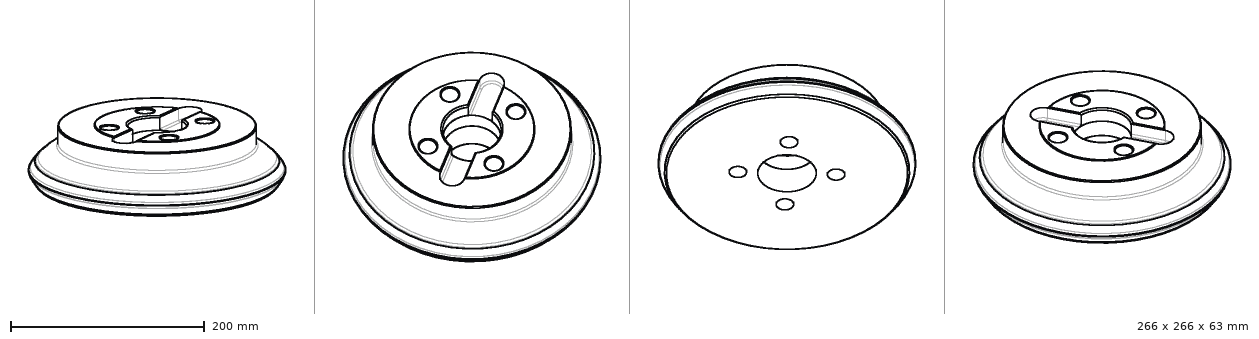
import cadquery as cq
import math

total_height = 63.0
boss_height = 1.0
deck_z = total_height - boss_height

boss_radius = 64.9
boss_bevel = 0.8
collar_radius = 205.0 / 2
collar_chamfer_height = 1.3
collar_chamfer_width = 1.0
collar_base_z = 43.0
collar_fillet_radius = 3.5

dome_top = (104.0, 40.0)
dome_base = (123.0, 26.5)
land_edge = (125.5, 24.7)
dome_arc_radius = 65.0

rim_radius = 133.0
rim_thickness = 0.5
rim_band_z = (14.0, 13.3)
rim_face = [
    (126.5, 23.5),
    (131.5, 17.0),
    (rim_radius, rim_band_z[0]),
    (rim_radius, rim_band_z[1]),
    (131.8, 10.4),
    (126.5, 2.0),
]
base_radius = 124.5

bore_radius = 60.0 / 2
bore_end_radius = 60.3 / 2
bore_relief_z = 29.8
bore_chamfer = 1.9

slot_width = 26.0
slot_length = 154.7
slot_floor_z = 47.5
slot_floor_fillet = 2.0
slot_bevel = 1.0

bolt_hole_diameter = 18.0
bolt_mouth_diameter = 20.2
bolt_mouth_angle = 90
bolt_spacing = 71.8


def inset_corners(corners, distance):
    """Offset a chain of (radius, z) corners, listed downwards, by `distance` towards the axis."""
    tilts = [math.atan2(b[0] - a[0], a[1] - b[1]) for a, b in zip(corners, corners[1:])]
    moved = []
    for corner, before, after in zip(corners, tilts[:1] + tilts, tilts + tilts[-1:]):
        tilt = (before + after) / 2
        reach = distance / math.cos((before - after) / 2)
        moved.append((corner[0] - reach * math.cos(tilt), corner[1] - reach * math.sin(tilt)))
    return moved


rim_seat = inset_corners(rim_face, rim_thickness)


def revolve(profile):
    """Turn an open (radius, z) profile into a solid about the Z axis."""
    return profile.close().revolve(360, (0, 0, 0), (0, 1, 0))


def add_corners(profile, corners):
    for corner in corners:
        profile = profile.lineTo(*corner)
    return profile


def make_rim():
    face = cq.Workplane("XZ").moveTo(*rim_face[0])
    return revolve(add_corners(face, rim_face[1:] + rim_seat[::-1]))


def make_blank():
    """Body without its bore, slot and holes."""
    base = cq.Workplane("XZ").lineTo(base_radius, 0).lineTo(*rim_face[-1])
    return revolve(
        add_corners(base, rim_seat[::-1] + [rim_face[0], land_edge, dome_base])
        .radiusArc(dome_top, -dome_arc_radius)
        .radiusArc((collar_radius, collar_base_z), collar_fillet_radius)
        .lineTo(collar_radius, deck_z - collar_chamfer_height)
        .lineTo(collar_radius - collar_chamfer_width, deck_z)
        .lineTo(boss_radius, deck_z)
        .lineTo(boss_radius - boss_bevel, total_height)
        .lineTo(0, total_height)
    )


def make_bore():
    return revolve(
        cq.Workplane("XZ")
        .lineTo(bore_end_radius, 0)
        .lineTo(bore_end_radius, bore_relief_z)
        .lineTo(bore_radius, bore_relief_z)
        .lineTo(bore_radius, slot_floor_z)
        .lineTo(bore_end_radius, slot_floor_z)
        .lineTo(bore_end_radius, total_height - bore_chamfer)
        .lineTo(bore_end_radius + bore_chamfer, total_height)
        .lineTo(0, total_height)
    )


def make_slot():
    """Round-ended slot with filleted floor edges, bevelled where it crosses the boss."""
    slot = (
        cq.Workplane("XY", origin=(0, 0, slot_floor_z))
        .slot2D(slot_length, slot_width, 90)
        .extrude(total_height - slot_floor_z)
        .faces("<Z")
        .edges()
        .fillet(slot_floor_fillet)
    )
    half_floor = slot_width / 2
    half_top = half_floor + slot_bevel
    bevel = (
        cq.Workplane("XZ", origin=(0, boss_radius, 0))
        .moveTo(-half_floor, deck_z)
        .lineTo(half_floor, deck_z)
        .lineTo(half_top, total_height)
        .lineTo(-half_top, total_height)
        .close()
        .extrude(2 * boss_radius)
    )
    return slot.union(bevel)


def make_body():
    return (
        make_blank()
        .cut(make_bore())
        .cut(make_slot())
        .copyWorkplane(cq.Workplane("XY", origin=(0, 0, total_height)))
        .rect(bolt_spacing, bolt_spacing, forConstruction=True)
        .vertices()
        .cskHole(bolt_hole_diameter, bolt_mouth_diameter, bolt_mouth_angle)
    )


body = make_body()
rim = make_rim()

result = cq.Compound.makeCompound([body.val(), rim.val()])